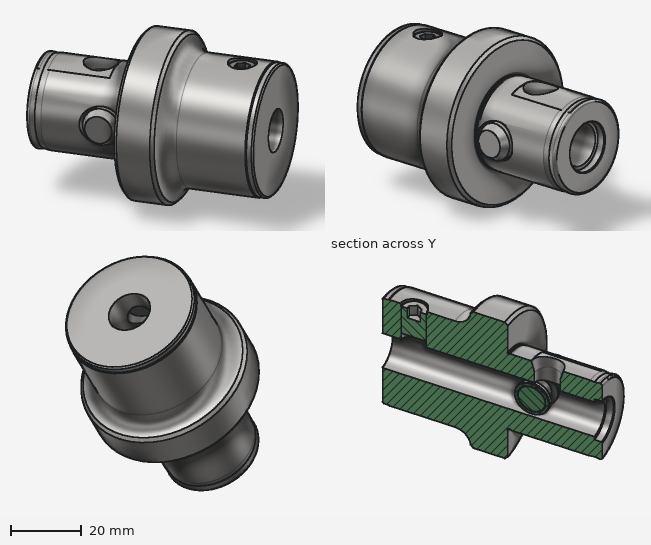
import cadquery as cq
import math


shank_length = 30.0
shank_radius = 14.0
nose_radius = 13.2
nose_round = 1.0
groove_bottom = -27.5
groove_end = -25.6
groove_depth = 0.3

undercut_start = -1.2
undercut_floor_start = -0.55
undercut_floor_end = -0.2
undercut_depth = 0.2
undercut_face_radius = 14.6
undercut_face_depth = 0.15

flange_radius = 25.0
flange_length = 12.0
flange_chamfer = 1.0
barrel_diameter = 39.0
barrel_radius = barrel_diameter / 2
barrel_fillet = 5.0
body_length = 70.0
collar_radius = 19.3
collar_length = 1.95
collar_step = 0.35
rear_chamfer = 0.5

bore_radius = 6.2
counterbore_radius = 7.35
counterbore_depth = 2.5
counterbore_chamfer = 0.3

pin_x = -7.5
pin_radius = 5.5
pin_half_length = 16.45
pin_tip_radius = 4.05
pin_cone_start = 14.0
neck_radius = 3.5
neck_start = -5.5
neck_end = -1.4
sink_radius = 6.6
sink_half_angle = 30.0

ring_y = 0.2
ring_section_radius = 0.55
ring_outer_radius = pin_radius
ring_mean_radius = ring_outer_radius - ring_section_radius

relief_radius = 13.9
relief_half_width = 6.8
relief_end = pin_x
taper_hole_x = -12.45
taper_hole_outer_radius = 5.05
taper_hole_inner_radius = 4.0
taper_bottom = 10.3

screw_x = 29.95
screw_radius = 3.9
screw_top = 18.5
screw_length = 10.0
screw_sink_radius = 4.1
hex_across_flats = 4.0
hex_depth = 3.5

nose_x = -shank_length
rear_x = body_length - shank_length


def turned_blank():
    """Outer shape of the housing, revolved about X."""
    groove_radius = shank_radius - groove_depth
    undercut_radius = shank_radius - undercut_depth
    flange_edge = flange_radius - flange_chamfer
    fillet_x = flange_length + barrel_fillet
    fillet_centre = barrel_radius + barrel_fillet
    fillet_start_x = fillet_x - math.sqrt(barrel_fillet**2 - (fillet_centre - flange_edge) ** 2)
    collar_x = rear_x - collar_length
    profile = (
        cq.Workplane("XY")
        .moveTo(nose_x, 0)
        .lineTo(nose_x, nose_radius)
        .radiusArc((nose_x + nose_round, shank_radius), nose_round)
        .lineTo(groove_bottom, groove_radius)
        .lineTo(groove_end, shank_radius)
        .lineTo(undercut_start, shank_radius)
        .lineTo(undercut_floor_start, undercut_radius)
        .lineTo(undercut_floor_end, undercut_radius)
        .lineTo(undercut_face_depth, shank_radius)
        .lineTo(0, undercut_face_radius)
        .lineTo(0, flange_edge)
        .lineTo(flange_chamfer, flange_radius)
        .lineTo(flange_length - flange_chamfer, flange_radius)
        .lineTo(fillet_start_x, flange_edge)
        .radiusArc((fillet_x, barrel_radius), -barrel_fillet)
        .lineTo(collar_x - collar_step, barrel_radius)
        .lineTo(collar_x, collar_radius)
        .lineTo(rear_x - rear_chamfer, collar_radius)
        .lineTo(rear_x, collar_radius - rear_chamfer)
        .lineTo(rear_x, 0)
        .close()
    )
    return profile.revolve(360, (0, 0, 0), (1, 0, 0))


def axial_bore():
    """Through bore with a chamfered counterbore at the nose."""
    shoulder_x = nose_x + counterbore_depth
    profile = (
        cq.Workplane("XY")
        .moveTo(nose_x, 0)
        .lineTo(nose_x, counterbore_radius + counterbore_chamfer)
        .lineTo(nose_x + counterbore_chamfer, counterbore_radius)
        .lineTo(shoulder_x, counterbore_radius)
        .lineTo(shoulder_x, bore_radius)
        .lineTo(rear_x, bore_radius)
        .lineTo(rear_x, 0)
        .close()
    )
    return profile.revolve(360, (0, 0, 0), (1, 0, 0))


def shank_relief():
    """Shallow cylindrical relief on top of the shank, from the nose to the cross pin."""
    length = relief_end - nose_x
    strip = cq.Workplane("XY").box(
        length, 2 * relief_half_width, 2 * shank_radius, centered=(False, True, False)
    )
    core = cq.Workplane("YZ").circle(relief_radius).extrude(length)
    return strip.cut(core).translate((nose_x, 0, 0))


def taper_hole():
    """Hole from the top of the shank into the bore, straight below and tapered above."""
    profile = (
        cq.Workplane("XZ")
        .lineTo(taper_hole_inner_radius, 0)
        .lineTo(taper_hole_inner_radius, taper_bottom)
        .lineTo(taper_hole_outer_radius, shank_radius)
        .lineTo(0, shank_radius)
        .close()
    )
    return profile.revolve(360, (0, 0, 0), (0, 1, 0)).translate((taper_hole_x, 0, 0))


def pin_hole():
    """Cross hole for the pin, countersunk at both ends."""
    slope = math.tan(math.radians(sink_half_angle))
    sink_depth = (sink_radius - pin_radius) / slope
    profile = (
        cq.Workplane("XY")
        .moveTo(0, -shank_radius)
        .lineTo(sink_radius, -shank_radius)
        .lineTo(pin_radius, sink_depth - shank_radius)
        .lineTo(pin_radius, shank_radius - sink_depth)
        .lineTo(sink_radius, shank_radius)
        .lineTo(0, shank_radius)
        .close()
    )
    return profile.revolve(360, (0, 0, 0), (0, 1, 0)).translate((pin_x, 0, 0))


def screw_hole():
    """Radial hole for the set screw, from the barrel surface into the bore."""
    hole = cq.Workplane("XY").circle(screw_radius).extrude(barrel_radius)
    mouth = cq.Workplane("XY").workplane(offset=screw_top).circle(screw_sink_radius)
    sink = mouth.extrude(barrel_radius - screw_top)
    return hole.union(sink).translate((screw_x, 0, 0))


def make_housing():
    housing = turned_blank().cut(axial_bore())
    housing = housing.cut(shank_relief())
    housing = housing.cut(taper_hole())
    housing = housing.cut(pin_hole())
    return housing.cut(screw_hole())


def make_pin():
    """Cross pin with conical ends, a neck and a groove for the sealing ring."""
    groove_radius = ring_mean_radius - ring_section_radius
    profile = (
        cq.Workplane("XY")
        .moveTo(0, -pin_half_length)
        .lineTo(pin_tip_radius, -pin_half_length)
        .lineTo(pin_radius, -pin_cone_start)
        .lineTo(pin_radius, neck_start)
        .lineTo(neck_radius, neck_start)
        .lineTo(neck_radius, neck_end)
        .lineTo(pin_radius, neck_end)
        .lineTo(pin_radius, ring_y - ring_section_radius)
        .lineTo(groove_radius, ring_y - ring_section_radius)
        .lineTo(groove_radius, ring_y + ring_section_radius)
        .lineTo(pin_radius, ring_y + ring_section_radius)
        .lineTo(pin_radius, pin_cone_start)
        .lineTo(pin_tip_radius, pin_half_length)
        .lineTo(0, pin_half_length)
        .close()
    )
    return profile.revolve(360, (0, 0, 0), (0, 1, 0)).translate((pin_x, 0, 0))


def make_sealing_ring():
    section = cq.Workplane("XY").center(ring_mean_radius, ring_y).circle(ring_section_radius)
    ring = section.revolve(360, (-ring_mean_radius, 0, 0), (-ring_mean_radius, 1, 0))
    return ring.translate((pin_x, 0, 0))


def make_set_screw():
    """Headless screw with a hexagon socket whose corners point along Y."""
    top = cq.Workplane("XY", origin=(screw_x, 0, screw_top))
    screw = top.circle(screw_radius).extrude(-screw_length)
    hex_corner_diameter = hex_across_flats / math.cos(math.pi / 6)
    socket = (
        top.transformed(rotate=(0, 0, 90))
        .polygon(6, hex_corner_diameter)
        .extrude(-hex_depth)
    )
    return screw.cut(socket)


housing = make_housing()
pin = make_pin()
sealing_ring = make_sealing_ring()
set_screw = make_set_screw()

result = cq.Compound.makeCompound(
    [housing.val(), pin.val(), sealing_ring.val(), set_screw.val()]
)